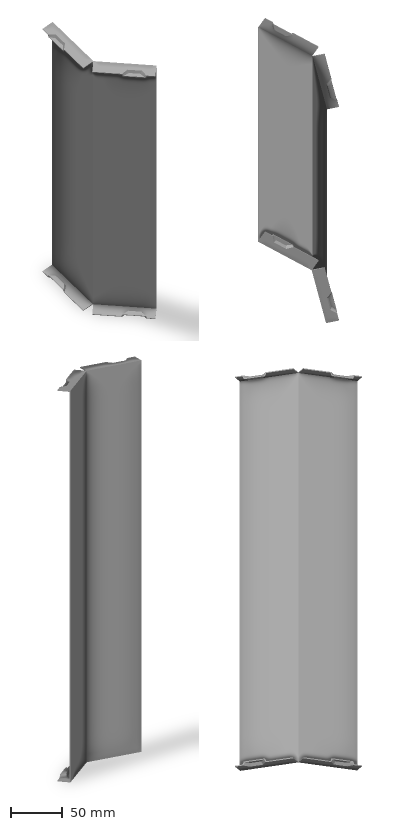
import cadquery as cq
import math

height = 400.0
overall_width = 113.0
overall_depth = 56.0
sheet = 1.0
flange_depth = 13.0
bend_angle = 45.0

bend_sin = math.sin(math.radians(bend_angle))
bend_cos = math.cos(math.radians(bend_angle))
wing_length = (overall_depth - flange_depth) / bend_sin
main_length = overall_width - wing_length * bend_cos - flange_depth * bend_sin

dimple_from_end = 20.5
dimple_width = 25.5
dimple_reach = 6.5
dimple_drop = 4.0
dimple_slope = 1.5
dimple_corner = 5.0


def dimple_outline(half_width, reach):
    """Points of a trapezoid lying against the free edge of a flange."""
    return [
        (-half_width, 0),
        (-half_width + dimple_corner, reach),
        (half_width - dimple_corner, reach),
        (half_width, 0),
    ]


def dimple_body(inset, top, bottom):
    """Tapered block, wide at the upper level and narrower at the lower level."""
    half_width = dimple_width / 2 - inset
    reach = dimple_reach - inset
    return (
        cq.Workplane("XY", origin=(0, 0, top))
        .polyline(dimple_outline(half_width, reach)).close()
        .workplane(offset=bottom - top)
        .polyline(dimple_outline(half_width - dimple_slope, reach - dimple_slope)).close()
        .loft(ruled=True)
    )


def top_flange(length, dimple_center):
    """Flange at the upper end of a panel, with its dimple pressed inward."""
    plate = cq.Workplane("XY").box(length, flange_depth, sheet, centered=False)
    plate = plate.translate((0, -flange_depth, height - sheet))
    place = (dimple_center, -flange_depth, 0)
    shell = dimple_body(0, height, height - dimple_drop).translate(place)
    hollow = dimple_body(sheet, height, height - dimple_drop + sheet).translate(place)
    return plate.union(shell).cut(hollow)


def panel(length, dimple_center):
    """Upright sheet along +X with its rear face on Y = 0 and a flange at each end."""
    wall = cq.Workplane("XY").box(length, sheet, height, centered=False)
    wall = wall.translate((0, -sheet, 0))
    upper = top_flange(length, dimple_center)
    lower = upper.mirror("XY", (0, 0, height / 2))
    return wall.union(upper).union(lower)


def bend_strip():
    """Wedge that fills the outside of the bend between the two walls."""
    miter = sheet * math.tan(math.radians(bend_angle / 2))
    return (
        cq.Workplane("XY")
        .polyline([
            (0, 0),
            (0, -sheet),
            (miter, -sheet),
            (sheet * bend_sin, -sheet * bend_cos),
        ])
        .close()
        .extrude(height)
    )


bend_point = (main_length, flange_depth, 0)
main_panel = panel(main_length, dimple_from_end).translate((0, flange_depth, 0))
wing_panel = (
    panel(wing_length, wing_length - dimple_from_end)
    .rotate((0, 0, 0), (0, 0, 1), bend_angle)
    .translate(bend_point)
)

result = main_panel.union(bend_strip().translate(bend_point)).union(wing_panel)